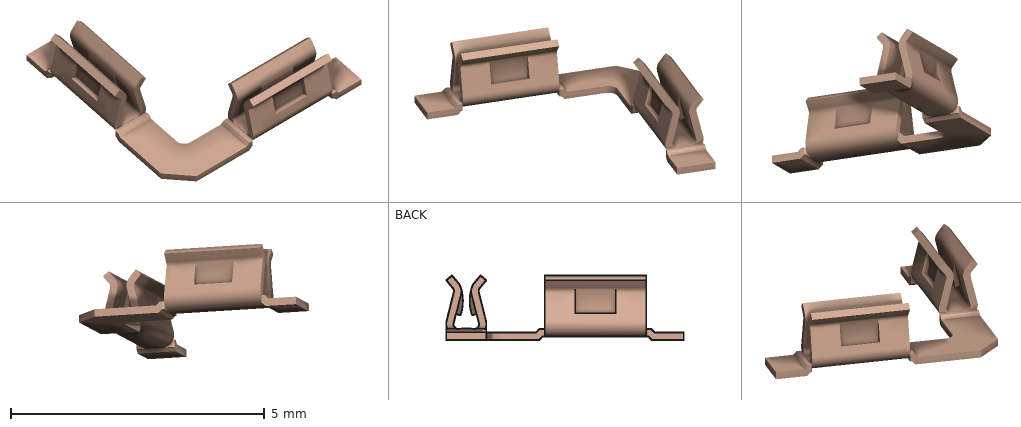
import cadquery as cq
import math


leg_length = 4.7
leg_width = 0.8
height = 1.28
sheet = 0.15

tab_length = 0.575
shelf_rise = 0.07
clip_start = 0.743
clip_length = 2.01
clip_middle = clip_start + clip_length / 2
shelf_corner_radius = 0.038

plate_start = 2 * clip_middle - tab_length
corner_chamfer = 0.5
inner_corner_radius = 0.197

bend_inside = 0.095
bend_outside = bend_inside + sheet
wall_tilt = math.radians(14)
flare_tilt = math.radians(40)
upper_bend_z = 0.97
floor_crown = 0.015

lower_bend_u = leg_width / 2 - bend_outside
lower_bend_z = shelf_rise + bend_outside
upper_bend_u = lower_bend_u + (
    bend_outside + bend_inside - (upper_bend_z - lower_bend_z) * math.sin(wall_tilt)
) / math.cos(wall_tilt)
flare_length = (height - upper_bend_z - bend_outside * math.sin(flare_tilt)) / math.cos(flare_tilt)
floor_z = shelf_rise + sheet

lower_bend = (lower_bend_u, lower_bend_z)
upper_bend = (upper_bend_u, upper_bend_z)

dimple_width = 0.8
dimple_radius = 0.845
dimple_start = math.radians(19)
dimple_end_z = 0.515
dimple_tip_radius = 0.03
pocket_end_z = 0.53


def polar(centre, radius, angle):
    """Point at a distance from centre in a direction (radians, from +u towards +z)."""
    return (centre[0] + radius * math.cos(angle), centre[1] + radius * math.sin(angle))


down = -math.pi / 2
up_wall = math.pi / 2 + wall_tilt
into_clip = math.pi + wall_tilt
up_flare = math.pi / 2 - flare_tilt
flare_inward = math.pi - flare_tilt


def wall_point(radius_at_lower_bend, z):
    """Point at height z on the wall face tangent to the given lower-bend radius."""
    start = polar(lower_bend, radius_at_lower_bend, wall_tilt)
    return polar(start, (z - start[1]) / math.cos(wall_tilt), up_wall)


def half_section():
    """Right-hand half of the clip: floor, lower bend, leaning wall, upper bend, lip."""
    lower_mid = (down + wall_tilt) / 2
    upper_mid = (into_clip + flare_inward) / 2
    lip_outer = polar(polar(upper_bend, bend_inside, flare_inward), flare_length, up_flare)
    lip_inner = polar(polar(upper_bend, bend_outside, flare_inward), flare_length, up_flare)
    crown_radius = (lower_bend_u**2 + floor_crown**2) / (2 * floor_crown)
    crown_centre = (0, floor_z + floor_crown - crown_radius)
    crown_mid = math.pi / 2 - math.asin(lower_bend_u / crown_radius) / 2
    return (
        cq.Workplane("YZ")
        .moveTo(0, shelf_rise)
        .lineTo(lower_bend_u, shelf_rise)
        .threePointArc(polar(lower_bend, bend_outside, lower_mid), polar(lower_bend, bend_outside, wall_tilt))
        .lineTo(*polar(upper_bend, bend_inside, into_clip))
        .threePointArc(polar(upper_bend, bend_inside, upper_mid), polar(upper_bend, bend_inside, flare_inward))
        .lineTo(*lip_outer)
        .lineTo(*lip_inner)
        .lineTo(*polar(upper_bend, bend_outside, flare_inward))
        .threePointArc(polar(upper_bend, bend_outside, upper_mid), polar(upper_bend, bend_outside, into_clip))
        .lineTo(*polar(lower_bend, bend_inside, wall_tilt))
        .threePointArc(polar(lower_bend, bend_inside, lower_mid), (lower_bend_u, floor_z))
        .threePointArc(polar(crown_centre, crown_radius, crown_mid), (0, floor_z + floor_crown))
        .close()
        .extrude(clip_length / 2, both=True)
    )


def dimple_strip(bend_radius, foot):
    """Solid behind an arc tangent to the upper bend, ending along the arc's radius through foot."""
    centre = polar(upper_bend, dimple_radius - bend_radius, -dimple_start)
    start_angle = math.pi - dimple_start
    end_angle = math.pi + math.atan2(centre[1] - foot[1], centre[0] - foot[0])
    return (
        cq.Workplane("YZ")
        .moveTo(*upper_bend)
        .lineTo(*polar(centre, dimple_radius, start_angle))
        .threePointArc(
            polar(centre, dimple_radius, (start_angle + end_angle) / 2),
            polar(centre, dimple_radius, end_angle),
        )
        .lineTo(*foot)
        .close()
        .extrude(dimple_width / 2, both=True)
    )


def half_clip():
    """One wall of the clip with its dimple: bulge on the inside, pocket on the outside."""
    bulge = dimple_strip(bend_outside, wall_point(bend_inside, dimple_end_z))
    bulge = bulge.edges("|X").edges("<Z").fillet(dimple_tip_radius)
    pocket = dimple_strip(bend_inside, wall_point(bend_outside, pocket_end_z))
    return half_section().union(bulge).cut(pocket)


def clip():
    wall = half_clip()
    both_walls = wall.union(wall.mirror("XZ"))
    return both_walls.translate((clip_middle, leg_width / 2, 0))


def end_tab():
    """Flat tab that joggles up to a shelf level with the clip floor."""
    underside_shift = sheet * math.tan(math.pi / 8)
    underside_end = tab_length + underside_shift
    return (
        cq.Workplane("XZ")
        .polyline([
            (0, 0),
            (underside_end, 0),
            (underside_end + shelf_rise, shelf_rise),
            (clip_start, shelf_rise),
            (clip_start, floor_z),
            (tab_length + shelf_rise, floor_z),
            (tab_length, sheet),
            (0, sheet),
        ])
        .close()
        .extrude(-leg_width)
        .edges("|Z and >X")
        .fillet(shelf_corner_radius)
    )


def leg():
    """Clip with a joggled tab at each end; the inner tab runs into the corner plate."""
    tab = end_tab()
    inner_tab = tab.mirror("YZ", (clip_middle, 0, 0))
    return clip().union(tab).union(inner_tab)


def corner_plate():
    inner_edge = leg_length - leg_width
    return (
        cq.Workplane("XY")
        .polyline([
            (plate_start, 0),
            (leg_length - corner_chamfer, 0),
            (leg_length, corner_chamfer),
            (leg_length, leg_length - plate_start),
            (inner_edge, leg_length - plate_start),
            (inner_edge, leg_width),
            (plate_start, leg_width),
        ])
        .close()
        .extrude(sheet)
        .edges(cq.selectors.NearestToPointSelector((inner_edge, leg_width, sheet / 2)))
        .fillet(inner_corner_radius)
    )


leg_x = leg()
leg_y = leg_x.rotate((0, 0, 0), (0, 0, 1), -90).translate((leg_length - leg_width, leg_length, 0))
result = corner_plate().union(leg_x).union(leg_y).clean()